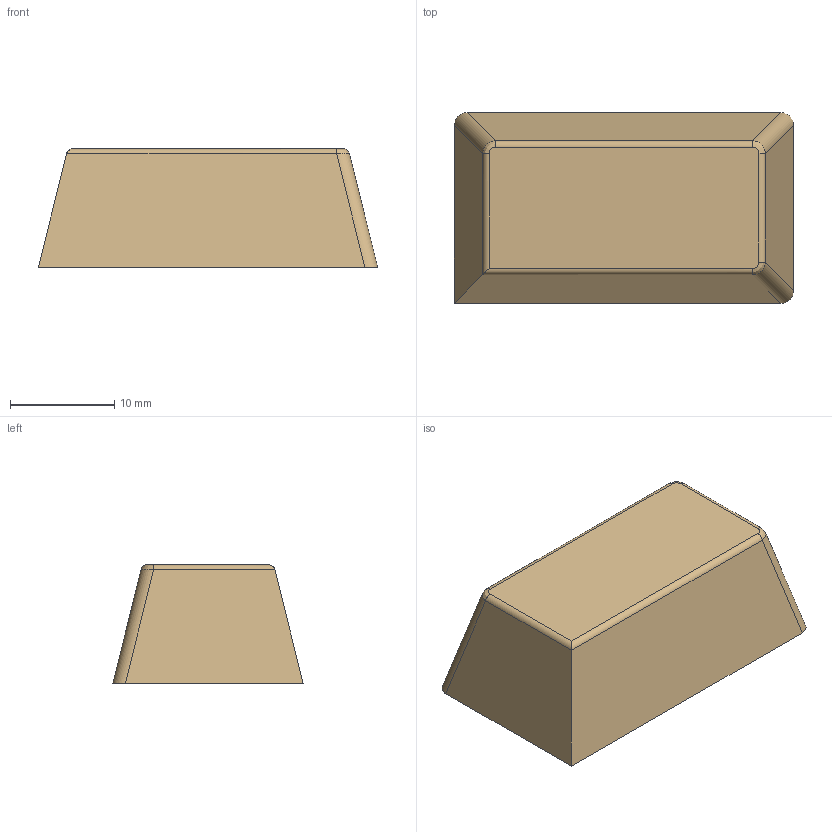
import cadquery as cq
import math

LENGTH = 32.59
WIDTH = 18.3
HEIGHT = 11.4

WALL_DRAFT_DEG = 13.95

CORNER_RADIUS = 1.25
TOP_EDGE_RADIUS = CORNER_RADIUS / 2


def tapered_block():
    """Solid block standing on Z = 0 with four equally drafted walls."""
    return cq.Workplane("XY").rect(LENGTH, WIDTH).extrude(HEIGHT, taper=WALL_DRAFT_DEG)


def round_corners(body):
    """Round three slanted corner edges; the one at -X, -Y stays sharp."""
    inset = HEIGHT * math.tan(math.radians(WALL_DRAFT_DEG)) / 2
    mid_x = LENGTH / 2 - inset
    mid_y = WIDTH / 2 - inset
    for side_x, side_y in ((1, -1), (1, 1), (-1, 1)):
        edge_middle = (side_x * mid_x, side_y * mid_y, HEIGHT / 2)
        body = body.edges(cq.NearestToPointSelector(edge_middle)).fillet(CORNER_RADIUS)
    return body


def round_top_rim(body):
    """Round the whole rim of the top face."""
    return body.faces(">Z").edges().fillet(TOP_EDGE_RADIUS)


result = round_top_rim(round_corners(tapered_block()))